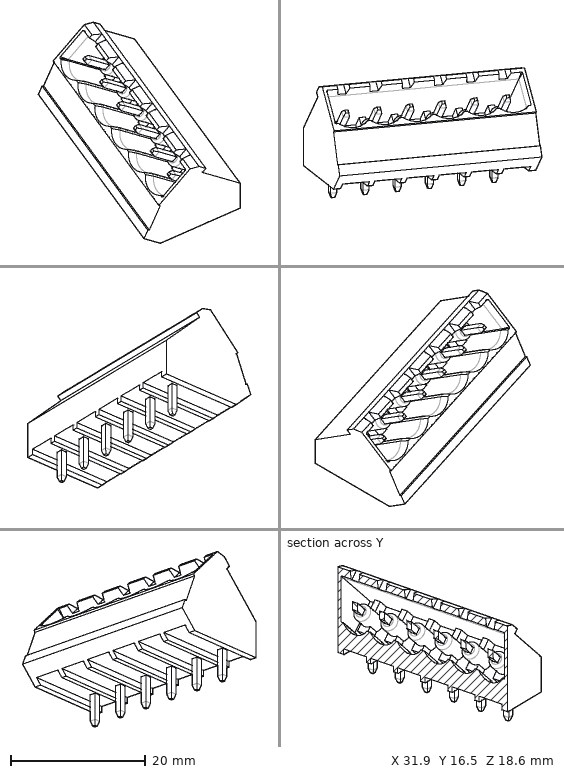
import cadquery as cq
import math


POLES = 6
PITCH = 5.08
END_MARGIN = 1.4
HOUSING_LENGTH = POLES * PITCH + END_MARGIN
POLE_XS = [(i - (POLES - 1) / 2) * PITCH for i in range(POLES)]

BACK_Y = 3.92
FRONT_Y = -12.58
NOSE_Z = 2.81
TOP_RISE = 6.93
MOUTH_REACH = 13.55
MOUTH_LOW_RISE = -0.65
MOUTH_STEP = 0.35
LATCH_RISE = 7.76
LATCH_START = 10.55
LATCH_END = 12.2
LEDGE_Y = -11.66
LEDGE_Z = 4.28
LEDGE_STEP = 0.27

SOCKET_END_WALL = 0.69
SOCKET_LENGTH = HOUSING_LENGTH - 2 * SOCKET_END_WALL
SOCKET_LOW_RISE = 0.73
SOCKET_HIGH_RISE = 6.11
SOCKET_MIDDLE_RISE = (SOCKET_LOW_RISE + SOCKET_HIGH_RISE) / 2
SOCKET_FLOOR = 2.3
LEAD_IN_DEPTH = 1.75
LEAD_IN_FLARE = 0.18
LEAD_IN_START = MOUTH_REACH - LEAD_IN_DEPTH
LEAD_IN_ANGLE = math.degrees(math.atan(LEAD_IN_FLARE / LEAD_IN_DEPTH))

SCALLOP_RADIUS = 3.05
SCALLOP_RISE = 2.83
SCALLOP_LIMIT = 1.5

UPPER_RIB_WIDTH = 1.0
LOWER_RIB_WIDTH = 1.7
RIB_TOP = 4.45
COLLAR_DIAMETER = 2.75
COLLAR_TOP = 7.2
COLLAR_FILLET = 0.5

NOTCH_FLOOR_WIDTH = 1.27
NOTCH_MOUTH_WIDTH = 1.9

SLOT_WIDTH = 4.23
SLOT_HEIGHT = 0.93

PIN_WIDTH = 1.0
PIN_RISE = 3.12
PIN_END = 12.26
LEG_BOTTOM = -4.12
TIP_LENGTH = 0.8
TIP_WIDTH = 0.5
TIP_ANGLE = math.degrees(math.atan((PIN_WIDTH - TIP_WIDTH) / 2 / TIP_LENGTH))


def mating_plane(reach):
    """Workplane square to the mating direction, at the given reach."""
    offset = reach / math.sqrt(2)
    plane = cq.Plane(origin=(0, -offset, offset), xDir=(1, 0, 0), normal=(0, -1, 1))
    return cq.Workplane(plane)


def to_yz(rise, reach):
    """Turn rise and reach into Y and Z."""
    return ((rise - reach) / math.sqrt(2), (rise + reach) / math.sqrt(2))


def make_block():
    back_top_z = TOP_RISE * math.sqrt(2) - BACK_Y
    slope_top = to_yz(MOUTH_LOW_RISE, MOUTH_REACH - MOUTH_STEP)
    slope_angle = math.atan2(slope_top[1] - LEDGE_Z, slope_top[0] - LEDGE_Y)
    ledge_corner = (
        LEDGE_Y - LEDGE_STEP * math.sin(slope_angle),
        LEDGE_Z + LEDGE_STEP * math.cos(slope_angle),
    )
    outline = [
        (BACK_Y, 0),
        (BACK_Y, back_top_z),
        to_yz(TOP_RISE, LATCH_START),
        to_yz(LATCH_RISE, LATCH_START),
        to_yz(LATCH_RISE, LATCH_END),
        to_yz(TOP_RISE, MOUTH_REACH),
        to_yz(MOUTH_LOW_RISE, MOUTH_REACH),
        slope_top,
        (LEDGE_Y, LEDGE_Z),
        ledge_corner,
        (FRONT_Y, NOSE_Z),
        (FRONT_Y + NOSE_Z, 0),
    ]
    return cq.Workplane("YZ").polyline(outline).close().extrude(HOUSING_LENGTH / 2, both=True)


def flared(draw_outline):
    """Extrude an outline from the socket floor to the mouth, flaring out over the lead-in."""
    straight = draw_outline(mating_plane(SOCKET_FLOOR)).extrude(LEAD_IN_START - SOCKET_FLOOR)
    lead_in = draw_outline(mating_plane(LEAD_IN_START)).extrude(LEAD_IN_DEPTH, taper=-LEAD_IN_ANGLE)
    return straight.union(lead_in)


def make_socket():
    height = SOCKET_HIGH_RISE - SOCKET_LOW_RISE
    return flared(lambda plane: plane.center(0, SOCKET_MIDDLE_RISE).rect(SOCKET_LENGTH, height))


def make_scallop(x):
    """Round channel along the lower socket wall, kept within its own pole."""
    channel = flared(lambda plane: plane.center(x, SCALLOP_RISE).circle(SCALLOP_RADIUS))
    pole_space = (
        mating_plane(SOCKET_FLOOR)
        .center(x, SCALLOP_LIMIT - PITCH / 2)
        .rect(PITCH, PITCH)
        .extrude(MOUTH_REACH - SOCKET_FLOOR)
    )
    return channel.intersect(pole_space)


def make_rib(x):
    """Rib across the socket floor, in two widths that meet at the pin axis."""
    height = RIB_TOP - SOCKET_FLOOR
    upper_length = SOCKET_HIGH_RISE - PIN_RISE
    lower_length = PIN_RISE - SOCKET_LOW_RISE
    upper = (
        mating_plane(SOCKET_FLOOR)
        .center(x, PIN_RISE + upper_length / 2)
        .rect(UPPER_RIB_WIDTH, upper_length)
        .extrude(height)
    )
    lower = (
        mating_plane(SOCKET_FLOOR)
        .center(x, PIN_RISE - lower_length / 2)
        .rect(LOWER_RIB_WIDTH, lower_length)
        .extrude(height)
    )
    return upper.union(lower)


def make_collar(x):
    return (
        mating_plane(SOCKET_FLOOR)
        .center(x, PIN_RISE)
        .circle(COLLAR_DIAMETER / 2)
        .extrude(COLLAR_TOP - SOCKET_FLOOR)
        .faces(cq.selectors.DirectionMinMaxSelector(cq.Vector(0, -1, 1)))
        .edges()
        .fillet(COLLAR_FILLET)
    )


def make_notch(x):
    """Trapezoid through the upper wall, wider at the mouth."""
    plane = cq.Plane(origin=(x, 0, 0), xDir=(1, 0, 0), normal=(0, -1, -1))
    return (
        cq.Workplane(plane)
        .workplane(offset=-LATCH_RISE)
        .polyline([
            (-NOTCH_FLOOR_WIDTH / 2, LATCH_END),
            (NOTCH_FLOOR_WIDTH / 2, LATCH_END),
            (NOTCH_MOUTH_WIDTH / 2, MOUTH_REACH),
            (-NOTCH_MOUTH_WIDTH / 2, MOUTH_REACH),
        ])
        .close()
        .extrude(LATCH_RISE - SOCKET_MIDDLE_RISE)
    )


def make_slot(x):
    length = BACK_Y - FRONT_Y
    return cq.Workplane("XY").center(x, BACK_Y - length / 2).rect(SLOT_WIDTH, length).extrude(SLOT_HEIGHT)


def make_pin(x):
    """Square pin with a vertical solder leg and a mating end bent 45 degrees forward."""
    half = PIN_WIDTH / 2
    shaft_end = PIN_END - TIP_LENGTH
    leg_end = LEG_BOTTOM + TIP_LENGTH
    upper = PIN_RISE + half
    lower = PIN_RISE - half
    outline = [
        (half, leg_end),
        (half, upper * math.sqrt(2) - half),
        to_yz(upper, shaft_end),
        to_yz(lower, shaft_end),
        (-half, lower * math.sqrt(2) + half),
        (-half, leg_end),
    ]
    shaft = cq.Workplane("YZ").workplane(offset=x).polyline(outline).close().extrude(half, both=True)
    mating_tip = (
        mating_plane(shaft_end)
        .center(x, PIN_RISE)
        .rect(PIN_WIDTH, PIN_WIDTH)
        .extrude(TIP_LENGTH, taper=TIP_ANGLE)
    )
    leg_tip = (
        cq.Workplane("XY", origin=(x, 0, leg_end))
        .rect(PIN_WIDTH, PIN_WIDTH)
        .extrude(-TIP_LENGTH, taper=TIP_ANGLE)
    )
    return shaft.union(mating_tip).union(leg_tip)


pins = [make_pin(x) for x in POLE_XS]

housing = make_block().cut(make_socket())
for x in POLE_XS:
    housing = housing.cut(make_scallop(x)).cut(make_notch(x)).cut(make_slot(x))
for x in POLE_XS:
    housing = housing.union(make_rib(x)).union(make_collar(x))
for pin in pins:
    housing = housing.cut(pin)

result = cq.Compound.makeCompound([housing.val(), *[pin.val() for pin in pins]])